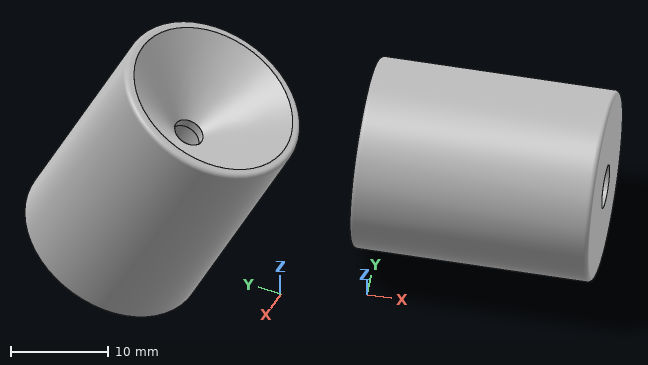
import cadquery as cq

length = 25.0
outer_diameter = 20.0
edge_radius = 0.5

funnel_mouth_diameter = 18.0
funnel_depth = 6.0
throat_diameter = 3.2
throat_length = 1.0

bore_diameter = 4.5

front_x = -length / 2
back_x = length / 2
throat_start_x = front_x + funnel_depth
throat_end_x = throat_start_x + throat_length


def rounded_cylinder():
    """Solid cylinder with both outer rims rounded."""
    cylinder = cq.Workplane("YZ", origin=(front_x, 0, 0)).circle(outer_diameter / 2).extrude(length)
    return cylinder.edges("%CIRCLE").fillet(edge_radius)


def stepped_passage():
    """Funnel, throat and bore as one revolved solid about the X axis."""
    profile = (
        cq.Workplane("XY")
        .moveTo(front_x, 0)
        .lineTo(front_x, funnel_mouth_diameter / 2)
        .lineTo(throat_start_x, throat_diameter / 2)
        .lineTo(throat_end_x, throat_diameter / 2)
        .lineTo(throat_end_x, bore_diameter / 2)
        .lineTo(back_x, bore_diameter / 2)
        .lineTo(back_x, 0)
        .close()
    )
    return profile.revolve(360, (0, 0, 0), (1, 0, 0))


result = rounded_cylinder().cut(stepped_passage())